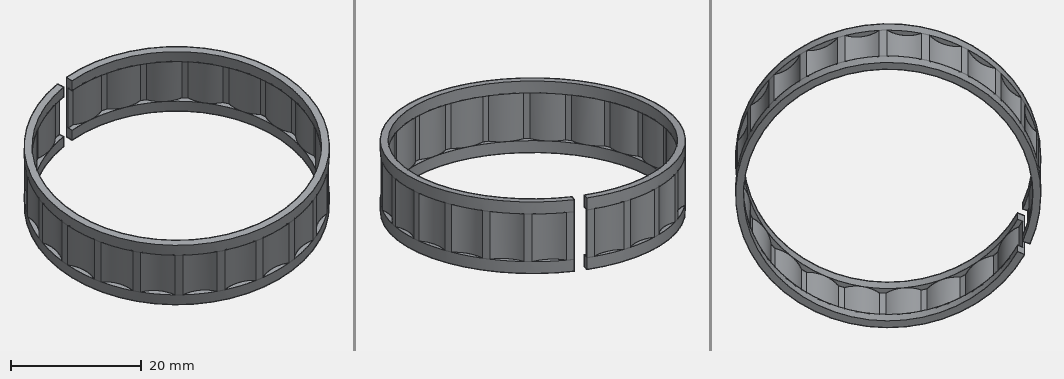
import cadquery as cq
import math

outer_radius = 23.35
rim_thickness = 1.2
height = 12.0
rim_height = 2.0
wall = 0.4

gap_centre = 168.0
gap_angle = 5.0
land_angle = 3.0
trough_count = 22

inner_radius = outer_radius - rim_thickness
band_height = height - 2 * rim_height
start_angle = gap_centre + gap_angle / 2
ring_angle = 360.0 - gap_angle
pitch = (ring_angle - land_angle) / trough_count
trough_angle = pitch - land_angle

half_trough = math.radians(trough_angle / 2)
half_chord = outer_radius * math.sin(half_trough)
dent_depth = outer_radius * math.cos(half_trough) - (inner_radius + wall)
dent_radius = (half_chord**2 + dent_depth**2) / (2 * dent_depth)
axis_radius = inner_radius + wall + dent_radius

land_inner_radius = outer_radius - wall
dent_inner_radius = dent_radius + wall
half_trough_inner = math.degrees(math.acos(
    (axis_radius**2 + land_inner_radius**2 - dent_inner_radius**2)
    / (2 * axis_radius * land_inner_radius)
))


def polar(radius, angle):
    """Point at the given radius and angle about the ring axis."""
    turn = math.radians(angle)
    return (radius * math.cos(turn), radius * math.sin(turn))


def make_rim(base):
    """Plain C-shaped rim standing on the height `base`."""
    end_angle = start_angle + ring_angle
    middle = start_angle + ring_angle / 2
    return (
        cq.Workplane("XY", origin=(0, 0, base))
        .moveTo(*polar(outer_radius, start_angle))
        .threePointArc(polar(outer_radius, middle), polar(outer_radius, end_angle))
        .lineTo(*polar(inner_radius, end_angle))
        .threePointArc(polar(inner_radius, middle), polar(inner_radius, start_angle))
        .close()
        .extrude(rim_height)
    )


def wave_arcs(land_radius, trough_radius, half_angle):
    """One side of the band as (middle, end) points of its successive arcs."""
    arcs = []
    land_start = start_angle
    for index in range(trough_count):
        trough_centre = start_angle + land_angle + trough_angle / 2 + index * pitch
        trough_start = trough_centre - half_angle
        trough_end = trough_centre + half_angle
        land_middle = (land_start + trough_start) / 2
        arcs.append((polar(land_radius, land_middle), polar(land_radius, trough_start)))
        arcs.append((polar(trough_radius, trough_centre), polar(land_radius, trough_end)))
        land_start = trough_end
    ring_end = start_angle + ring_angle
    last_middle = (land_start + ring_end) / 2
    arcs.append((polar(land_radius, last_middle), polar(land_radius, ring_end)))
    return arcs


def make_band():
    """Corrugated band between the rims, from one gap face round to the other."""
    outer_arcs = wave_arcs(outer_radius, inner_radius + wall, trough_angle / 2)
    inner_arcs = wave_arcs(land_inner_radius, inner_radius, half_trough_inner)
    outer_start = polar(outer_radius, start_angle)
    inner_start = polar(land_inner_radius, start_angle)

    outline = cq.Workplane("XY", origin=(0, 0, rim_height)).moveTo(*outer_start)
    for middle, end in outer_arcs:
        outline = outline.threePointArc(middle, end)
    outline = outline.lineTo(*inner_arcs[-1][1])

    inner_ends = [inner_start] + [end for _, end in inner_arcs[:-1]]
    for (middle, _), end in zip(reversed(inner_arcs), reversed(inner_ends)):
        outline = outline.threePointArc(middle, end)
    return outline.close().extrude(band_height)


lower_rim = make_rim(0)
upper_rim = make_rim(height - rim_height)

result = lower_rim.union(make_band(), clean=False).union(upper_rim, clean=False)